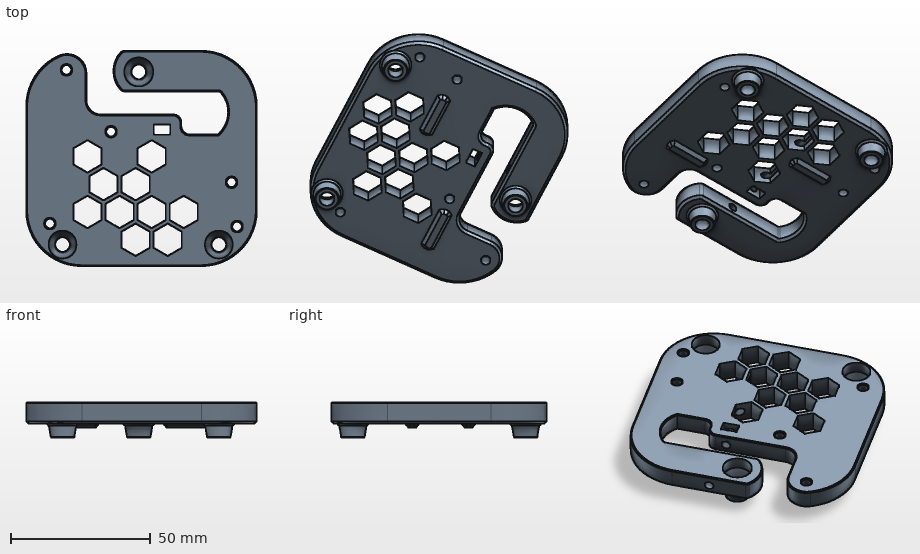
import cadquery as cq
import math

length = 82.5
width = 77.05
thickness = 7.7
corner_radius = 20.0
top_chamfer = 0.4
bottom_chamfer = 1.0
right = length / 2
back = width / 2

lobe_edge_x = -19.6
lobe_radius = 7.0
channel_floor_y = 15.75
entry_fillet = 5.0
step_x = 14.3
step_fillet = 3.0
pocket_floor_y = 8.6
pocket_arc_center = (20.3, 16.6)
pocket_arc_radius = 10.65
arm_lower_y = 23.9
arm_corner_x = -6.8
arm_tip_x = -10.1
arm_fillet = 2.0
pocket_fillet = 1.0

arm_foot = (-1.0, 30.9)
front_feet = [(-28.2, -30.8), (27.6, -30.8)]
foot_height = 4.95
foot_tip_diameter = 8.5
foot_tip_chamfer = 0.25
foot_root_diameter = 9.8
foot_flare = 0.75
screw_diameter = 5.2
arm_head_diameter = 10.4
front_head_diameter = 10.0
head_depth = 4.45
screw_seat_fillet = 1.5

small_hole_diameter = 3.4
small_hole_chamfer = 0.4
small_holes = [(-26.8, 31.7), (-10.9, 9.6), (32.2, -8.5), (-32.75, -23.3), (34.15, -24.3)]

hex_flats = 10.0
hex_pitch = 11.5
hex_side = hex_flats / math.sqrt(3)
hex_row_step = hex_pitch * math.sqrt(3) / 2
hex_first = (-19.3, 0.75)
hex_rows = [(0, 2), (0.5, 1.5), (0, 1, 2, 3), (1.5, 2.5)]

bore_x = 7.35
bore_diameter = 3.2
bore_end_y = hex_first[1] - 2 * hex_row_step - hex_side / 2
nut_slot_length = 5.85
nut_slot_width = 3.6
nut_slot_y = 10.3
nut_slot_radius = 0.4

pad_length = 16.8
pad_width = 4.95
pad_corner_length = 1.0
pad_corner_width = 1.6
pad_height = 1.5
pad_taper = 40
pads = [(-23.7, 10.6), (16.25, -9.6)]


def arc_inset(radius):
    """Distance along X and Y from a square corner to the middle of its rounding arc."""
    return radius * (1 - math.sqrt(0.5))


def plate():
    bend = arc_inset(corner_radius)
    corner_x = -right + corner_radius
    corner_y = back - corner_radius
    lobe_x = lobe_edge_x - lobe_radius
    reach = corner_radius - lobe_radius
    lobe_y = corner_y + math.sqrt(reach**2 - (lobe_x - corner_x) ** 2)
    lobe_angle = math.atan2(lobe_y - corner_y, lobe_x - corner_x)

    def on_corner(angle):
        return (corner_x + corner_radius * math.cos(angle), corner_y + corner_radius * math.sin(angle))

    lobe_mid = (
        lobe_x + lobe_radius * math.cos(lobe_angle / 2),
        lobe_y + lobe_radius * math.sin(lobe_angle / 2),
    )
    pocket_x, pocket_y = pocket_arc_center
    pocket_top_x = pocket_x + math.sqrt(pocket_arc_radius**2 - (arm_lower_y - pocket_y) ** 2)
    pocket_bottom_x = pocket_x + math.sqrt(pocket_arc_radius**2 - (pocket_floor_y - pocket_y) ** 2)
    entry_bend = arc_inset(entry_fillet)
    step_bend = arc_inset(step_fillet)

    outline = (
        cq.Workplane("XY")
        .moveTo(corner_x, -back)
        .lineTo(-corner_x, -back)
        .threePointArc((right - bend, -back + bend), (right, -corner_y))
        .lineTo(right, corner_y)
        .threePointArc((right - bend, back - bend), (-corner_x, back))
        .lineTo(arm_corner_x, back)
        .threePointArc((arm_tip_x, (back + arm_lower_y) / 2), (arm_corner_x, arm_lower_y))
        .lineTo(pocket_top_x, arm_lower_y)
        .threePointArc(
            (pocket_x + pocket_arc_radius, pocket_y),
            (pocket_bottom_x, pocket_floor_y),
        )
        .lineTo(step_x + step_fillet, pocket_floor_y)
        .threePointArc(
            (step_x + step_bend, pocket_floor_y + step_bend),
            (step_x, pocket_floor_y + step_fillet),
        )
        .lineTo(step_x, channel_floor_y - step_fillet)
        .threePointArc(
            (step_x - step_bend, channel_floor_y - step_bend),
            (step_x - step_fillet, channel_floor_y),
        )
        .lineTo(lobe_edge_x + entry_fillet, channel_floor_y)
        .threePointArc(
            (lobe_edge_x + entry_bend, channel_floor_y + entry_bend),
            (lobe_edge_x, channel_floor_y + entry_fillet),
        )
        .lineTo(lobe_edge_x, lobe_y)
        .threePointArc(lobe_mid, on_corner(lobe_angle))
        .threePointArc(on_corner((lobe_angle + math.pi) / 2), (-right, corner_y))
        .lineTo(-right, -corner_y)
        .threePointArc((-right + bend, -back + bend), (corner_x, -back))
        .close()
    )
    body = outline.extrude(thickness)
    rounded_corners = [
        (arm_corner_x, back, arm_fillet),
        (arm_corner_x, arm_lower_y, arm_fillet),
        (pocket_top_x, arm_lower_y, pocket_fillet),
    ]
    for x, y, radius in rounded_corners:
        edge = cq.selectors.NearestToPointSelector((x, y, thickness / 2))
        body = body.edges(edge).fillet(radius)
    return body.faces(">Z").chamfer(top_chamfer).faces("<Z").chamfer(bottom_chamfer)


def turned(center, profile):
    """Revolve (radius, z) points about the vertical axis through center."""
    solid = cq.Workplane("XZ").polyline(profile).close().revolve(360, (0, 0), (0, 1))
    return solid.translate((center[0], center[1], 0))


def foot(center):
    root = foot_root_diameter / 2
    tip = foot_tip_diameter / 2
    return turned(center, [
        (0, bottom_chamfer),
        (root + foot_flare, bottom_chamfer),
        (root + foot_flare, 0),
        (root, -foot_flare),
        (tip, foot_tip_chamfer - foot_height),
        (tip - foot_tip_chamfer, -foot_height),
        (0, -foot_height),
    ])


def screw_hole(center, head_diameter):
    head = head_diameter / 2
    shank = screw_diameter / 2
    cone_top = thickness - head_depth
    cutter = turned(center, [
        (0, thickness),
        (head, thickness),
        (head, cone_top),
        (shank, cone_top - (head - shank)),
        (shank, -foot_height),
        (0, -foot_height),
    ])
    seat_rims = cutter.edges("%CIRCLE").edges(
        cq.selectors.BoxSelector(
            (center[0] - head, center[1] - head, 0),
            (center[0] + head, center[1] + head, thickness - screw_seat_fillet),
            boundingbox=True,
        )
    )
    return seat_rims.fillet(screw_seat_fillet)


def small_hole(center):
    radius = small_hole_diameter / 2
    return turned(center, [
        (0, thickness),
        (radius + small_hole_chamfer, thickness),
        (radius, thickness - small_hole_chamfer),
        (radius, -pad_height),
        (0, -pad_height),
    ])


def hexagons():
    centers = [
        (hex_first[0] + column * hex_pitch, hex_first[1] - row * hex_row_step)
        for row, columns in enumerate(hex_rows)
        for column in columns
    ]
    flat_sided = cq.Sketch().regularPolygon(hex_side, 6)
    return cq.Workplane("XY").pushPoints(centers).placeSketch(flat_sided).extrude(thickness)


def clamp_bore():
    return (
        cq.Workplane("XZ", origin=(bore_x, back, thickness / 2))
        .circle(bore_diameter / 2)
        .extrude(back - bore_end_y)
    )


def nut_slot():
    return (
        cq.Workplane("XY")
        .center(bore_x, nut_slot_y)
        .rect(nut_slot_length, nut_slot_width)
        .extrude(thickness)
        .edges("|Z and <Y")
        .fillet(nut_slot_radius)
    )


def underside_pads():
    end = pad_length / 2
    side = pad_width / 2
    corners = [
        (end, side - pad_corner_width),
        (end - pad_corner_length, side),
        (pad_corner_length - end, side),
        (-end, side - pad_corner_width),
    ]
    base = corners + [(-x, -y) for x, y in corners]
    pad = cq.Workplane("XY").polyline(base).close().extrude(-pad_height, taper=pad_taper)
    both = cq.Workplane("XY")
    for x, y in pads:
        both = both.union(pad.translate((x, y, 0)))
    return both


result = plate().union(underside_pads())
for center in [arm_foot] + front_feet:
    result = result.union(foot(center))

result = result.cut(screw_hole(arm_foot, arm_head_diameter))
for center in front_feet:
    result = result.cut(screw_hole(center, front_head_diameter))
for center in small_holes:
    result = result.cut(small_hole(center))
result = result.cut(hexagons()).cut(clamp_bore()).cut(nut_slot())